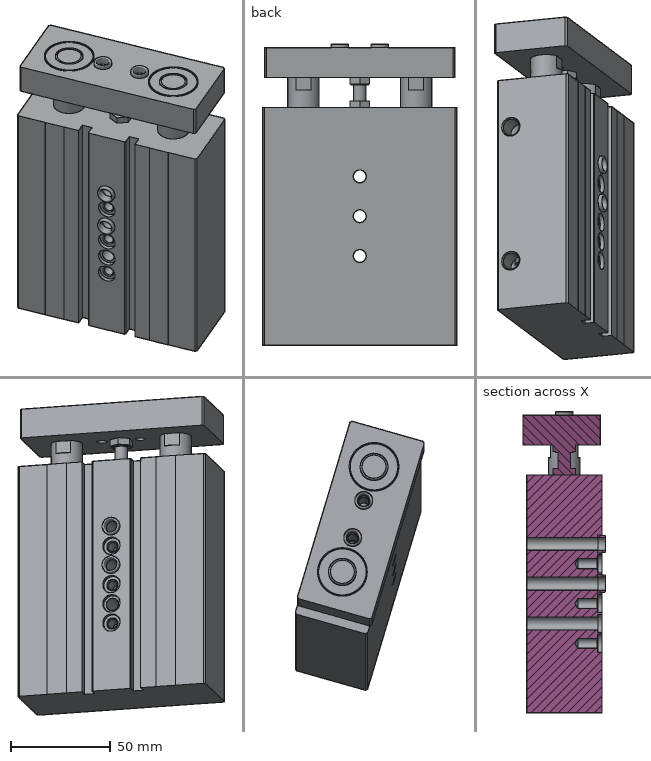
import cadquery as cq
import math


housing_width = 98.0
housing_depth = 38.0
housing_height = 120.0
edge_chamfer = 0.9
housing_front = -housing_depth / 2
pad_height = 0.08
pad_root = 1.5
centre_pad_half_width = 10.2
pad_edge_chamfer = 0.53
side_pad_inner = 23.4
side_pad_outer = 33.5
slot_inner = centre_pad_half_width
slot_outer = 15.3
slot_depth = 5.0

tolerance = 0.02

port_y = 11.5
port_heights = (24.9, 95.1)
port_mouth_diameter = 9.7
port_diameter = 8.5
port_depth = 12.0
drill_point_angle = 118.0

hole_pitch = 10.0
hole_count = 6
top_hole_z = 85.2
through_diameter = 6.4
thread_diameter = 4.9
thread_mouth_diameter = 6.0
thread_depth = 10.0
through_holes = (0, 2, 4)
sleeved_holes = (0, 2)

sleeve_outer_diameter = 9.0
sleeve_inner_diameter = 6.4
sleeve_length = 4.0
sleeve_stand_out = 1.8
recess_depth = sleeve_length - sleeve_stand_out

plate_width = 96.0
plate_depth = 39.0
plate_thickness = 15.0
plate_offset_y = 1.4
plate_gap = 15.0
plate_bottom = housing_height + plate_gap
plate_top = plate_bottom + plate_thickness
plate_sleeve_x = 10.0
groove_inner_diameter = 24.0
groove_outer_diameter = 25.0
groove_depth = 0.5

piston_rod_diameter = 6.4
hex_across_flats = 10.0
rod_hex_height = 3.3
nut_hex_height = 3.3
nut_collar_diameter = 9.0
nut_collar_height = 0.5

guide_x = 28.4
guide_diameter = 16.0
guide_flats = 14.0
guide_flat_length = 6.4
spigot_diameter = 14.0
spigot_tip_diameter = 12.0
collar_diameter = 32.0
collar_bottom = 26.5
collar_length = 60.8

guide_positions = (-guide_x, guide_x)
plate_sleeve_positions = (-plate_sleeve_x, plate_sleeve_x)
hole_heights = [top_hole_z - index * hole_pitch for index in range(hole_count)]
recess_floor_y = housing_front - pad_height + recess_depth


def cylinder(diameter, length, base, direction):
    return cq.Workplane(cq.Solid.makeCylinder(
        diameter / 2, length, cq.Vector(*base), cq.Vector(*direction)))


def cone(base_diameter, tip_diameter, length, base, direction):
    return cq.Workplane(cq.Solid.makeCone(
        base_diameter / 2, tip_diameter / 2, length, cq.Vector(*base), cq.Vector(*direction)))


def countersink(mouth_diameter, diameter, base, direction):
    """45 degree cone that narrows from the mouth to the hole."""
    return cone(mouth_diameter, diameter, (mouth_diameter - diameter) / 2, base, direction)


def drilled_hole(diameter, depth, base, direction):
    """Blind hole with a drill point beyond its full-diameter depth."""
    point_length = diameter / 2 / math.tan(math.radians(drill_point_angle / 2))
    tip_base = cq.Vector(*base) + cq.Vector(*direction) * depth
    point = cone(diameter, 0, point_length, tip_base.toTuple(), direction)
    return cylinder(diameter, depth, base, direction).union(point)


def threaded_hole(depth, base, direction):
    mouth = countersink(thread_mouth_diameter, thread_diameter, base, direction)
    return drilled_hole(thread_diameter, depth, base, direction).union(mouth)


def front_pad(x_min, x_max):
    """Full-height pad that is rooted inside the housing wall."""
    return cq.Workplane("XY").box(
        x_max - x_min, pad_height + pad_root, housing_height, centered=False
    ).translate((x_min, housing_front - pad_height, 0))


def make_housing():
    body = cq.Workplane("XY").box(
        housing_width, housing_depth, housing_height, centered=(True, True, False)
    ).edges("|Z").chamfer(edge_chamfer)

    body = body.union(front_pad(-centre_pad_half_width, centre_pad_half_width))
    body = body.union(front_pad(side_pad_inner, side_pad_outer))
    body = body.union(front_pad(-side_pad_outer, -side_pad_inner))

    slot_width = slot_outer - slot_inner
    for side in (-1, 1):
        slot = cq.Workplane("XY").box(
            slot_width, 2 * slot_depth, housing_height, centered=(True, True, False)
        ).translate((side * (slot_inner + slot_outer) / 2, housing_front, 0))
        body = body.cut(slot)

    pad_face = housing_front - pad_height
    centre_pad_edges = cq.selectors.BoxSelector(
        (-centre_pad_half_width - tolerance, pad_face - tolerance, 0),
        (centre_pad_half_width + tolerance, pad_face + tolerance, housing_height))
    body = body.edges("|Z").edges(centre_pad_edges).chamfer(pad_edge_chamfer)

    for z in port_heights:
        mouth = (-housing_width / 2, port_y, z)
        body = body.cut(drilled_hole(port_diameter, port_depth, mouth, (1, 0, 0)))
        body = body.cut(countersink(port_mouth_diameter, port_diameter, mouth, (1, 0, 0)))

    for index, z in enumerate(hole_heights):
        recess_floor = (0, recess_floor_y, z)
        body = body.cut(cylinder(sleeve_outer_diameter, recess_depth, recess_floor, (0, -1, 0)))
        if index in through_holes:
            hole = cylinder(through_diameter, housing_depth, recess_floor, (0, 1, 0))
        else:
            hole = threaded_hole(thread_depth, recess_floor, (0, 1, 0))
        body = body.cut(hole)

    for x in guide_positions:
        collar_base = (x, 0, collar_bottom)
        body = body.cut(cylinder(collar_diameter, collar_length, collar_base, (0, 0, 1)))
        body = body.cut(cylinder(guide_diameter, housing_height, collar_base, (0, 0, 1)))
    return body


def hexagon(height):
    """Hexagonal prism on Z = 0 with two flats facing +X and -X."""
    corner_diameter = hex_across_flats / math.cos(math.pi / 6)
    return cq.Workplane("XY").polygon(6, corner_diameter).extrude(height).rotate(
        (0, 0, 0), (0, 0, 1), 30)


def make_nut():
    """Nut under the end plate, with a round collar below its hexagon."""
    hex_bottom = plate_bottom - nut_hex_height
    collar = cylinder(nut_collar_diameter, nut_collar_height, (0, 0, hex_bottom), (0, 0, -1))
    return hexagon(nut_hex_height).translate((0, 0, hex_bottom)).union(collar)


def make_end_plate():
    """End plate in one piece with the piston rod and its two hexagons."""
    plate = cq.Workplane("XY").box(
        plate_width, plate_depth, plate_thickness, centered=(True, True, False)
    ).translate((0, plate_offset_y, plate_bottom)).edges("|Z").chamfer(edge_chamfer)

    for x in guide_positions:
        plate = plate.cut(cylinder(spigot_diameter, plate_thickness, (x, 0, plate_bottom), (0, 0, 1)))
        groove = cq.Workplane("XY").circle(groove_outer_diameter / 2).circle(
            groove_inner_diameter / 2).extrude(groove_depth)
        plate = plate.cut(groove.translate((x, 0, plate_top - groove_depth)))

    for x in plate_sleeve_positions:
        recess_floor = (x, 0, plate_top - recess_depth)
        plate = plate.cut(cylinder(sleeve_outer_diameter, recess_depth, recess_floor, (0, 0, 1)))
        plate = plate.cut(threaded_hole(plate_thickness, recess_floor, (0, 0, -1)))

    rod = cylinder(piston_rod_diameter, plate_gap, (0, 0, housing_height), (0, 0, 1))
    rod_hex = hexagon(rod_hex_height).translate((0, 0, housing_height))
    return plate.union(make_nut()).union(rod).union(rod_hex)


def make_guide_rod():
    """Guide rod on the Z axis: collar in the housing, shaft with wrench flats, spigot in the plate."""
    collar = cylinder(collar_diameter, collar_length, (0, 0, collar_bottom), (0, 0, 1))
    shaft = cylinder(guide_diameter, plate_bottom - collar_bottom, (0, 0, collar_bottom), (0, 0, 1))
    flatted_end = cq.Workplane("XY").box(
        guide_diameter, guide_diameter, guide_flat_length, centered=(True, True, False)
    ).cut(cq.Workplane("XY").box(
        guide_diameter, guide_flats, guide_flat_length, centered=(True, True, False)))
    shaft = shaft.cut(flatted_end.translate((0, 0, plate_bottom - guide_flat_length)))

    tip_chamfer = (spigot_diameter - spigot_tip_diameter) / 2
    spigot = cylinder(spigot_diameter, plate_thickness, (0, 0, plate_bottom), (0, 0, 1))
    spigot = spigot.faces(">Z").edges().chamfer(tip_chamfer)
    return collar.union(shaft).union(spigot)


def make_sleeve():
    """Centring sleeve standing on Z = 0, with a fully rounded free end."""
    inner_radius = sleeve_inner_diameter / 2
    outer_radius = sleeve_outer_diameter / 2
    round_radius = (outer_radius - inner_radius) / 2
    round_start = sleeve_length - round_radius
    profile = (
        cq.Workplane("XZ")
        .moveTo(inner_radius, 0)
        .lineTo(outer_radius, 0)
        .lineTo(outer_radius, round_start)
        .threePointArc((inner_radius + round_radius, sleeve_length), (inner_radius, round_start))
        .close()
    )
    return profile.revolve(360, (0, 0, 0), (0, 1, 0))


housing = make_housing()
end_plate = make_end_plate()
guide_rods = [make_guide_rod().translate((x, 0, 0)) for x in guide_positions]

plate_sleeves = [
    make_sleeve().translate((x, 0, plate_top - recess_depth)) for x in plate_sleeve_positions]
front_sleeves = [
    make_sleeve().rotate((0, 0, 0), (1, 0, 0), 90).translate((0, recess_floor_y, hole_heights[index]))
    for index in sleeved_holes]

bodies = [housing, end_plate, *guide_rods, *plate_sleeves, *front_sleeves]
result = cq.Compound.makeCompound([body.solids().val() for body in bodies])